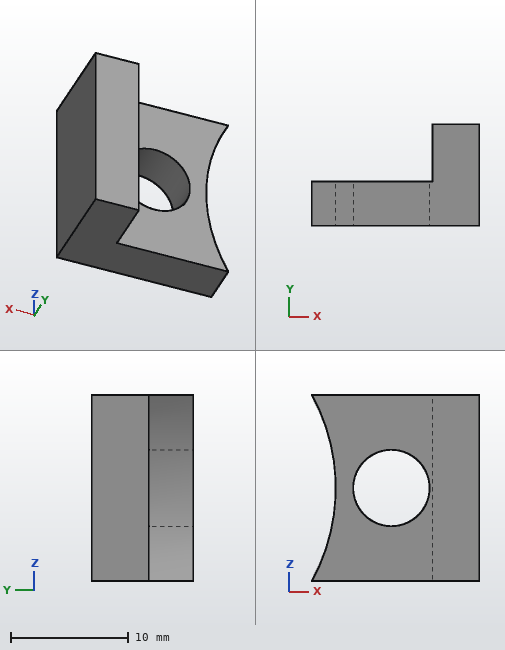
import cadquery as cq
import math

length = 14.3
depth = 8.7
height = 15.9

plate_thickness = 3.8
flange_width = 4.0

concave_radius = 16.5
concave_depth = concave_radius - math.sqrt(concave_radius**2 - (height / 2) ** 2)

hole_diameter = 6.5
hole_from_tip = 6.8
hole_height = height / 2


def make_plate():
    """Plate lying in XZ, with a concave arc at its -X end."""
    return (
        cq.Workplane("XZ")
        .moveTo(0, 0)
        .lineTo(length, 0)
        .lineTo(length, height)
        .lineTo(0, height)
        .threePointArc((concave_depth, height / 2), (0, 0))
        .close()
        .extrude(-plate_thickness)
    )


def make_flange():
    """Full-height flange at the +X end, spanning the whole depth."""
    return (
        cq.Workplane("XY")
        .box(flange_width, depth, height, centered=False)
        .translate((length - flange_width, 0, 0))
    )


def make_hole():
    """Cylinder that cuts the round hole through the plate."""
    return (
        cq.Workplane("XZ")
        .center(hole_from_tip, hole_height)
        .circle(hole_diameter / 2)
        .extrude(-plate_thickness)
    )


result = make_plate().union(make_flange()).cut(make_hole())